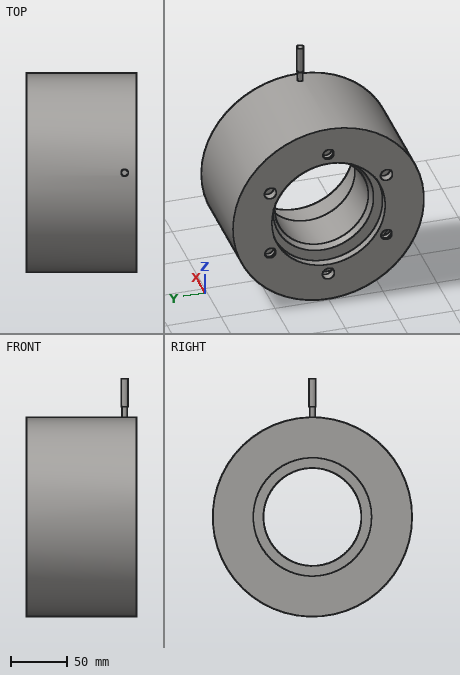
import cadquery as cq
import math

body_length = 97.6
body_diameter = 177.0
bore_diameter = 86.6

opening_diameter = 105.0
plate_thickness = 8.0
groove_diameter = 139.5
groove_width = 7.6

hub_length = 46.5
taper_diameter = 93.0
taper_angle = 30
taper_length = (taper_diameter - bore_diameter) / 2 / math.tan(math.radians(taper_angle))

hole_circle_radius = 62.1
hole_count = 6
small_hole_diameter = 10.0
large_hole_diameter = 11.0
step_depth = 2.5

overall_height = 211.3
top_height = overall_height - body_diameter / 2
pin_diameter = 6.3
pin_length = 25.0
neck_diameter = 5.0
pin_inset = 10.5
neck_embed = 2.1

front_x = -body_length / 2
rear_x = body_length / 2
pin_x = rear_x - pin_inset


def make_body():
    """Revolve the wall section, drawn as (axial, radial), about X."""
    groove_front = front_x + plate_thickness
    hub_front = groove_front + groove_width
    hub_rear = hub_front + hub_length
    section = [
        (front_x, body_diameter / 2),
        (rear_x, body_diameter / 2),
        (rear_x, opening_diameter / 2),
        (hub_rear, opening_diameter / 2),
        (hub_rear, bore_diameter / 2),
        (hub_front + taper_length, bore_diameter / 2),
        (hub_front, taper_diameter / 2),
        (hub_front, groove_diameter / 2),
        (groove_front, groove_diameter / 2),
        (groove_front, opening_diameter / 2),
        (front_x, opening_diameter / 2),
    ]
    return cq.Workplane("XY").polyline(section).close().revolve(360, (0, 0, 0), (1, 0, 0))


def make_plate_hole(index):
    """Cutter for one hole, counted round the circle from the topmost, stepped hole."""
    angle = math.radians(90 + index * 360 / hole_count)
    hole_y = hole_circle_radius * math.cos(angle)
    hole_z = hole_circle_radius * math.sin(angle)
    is_stepped = index % 2 == 0
    wide_start = step_depth if is_stepped else 0
    cutter = (
        cq.Workplane("YZ", origin=(front_x + wide_start, hole_y, hole_z))
        .circle(large_hole_diameter / 2)
        .extrude(plate_thickness - wide_start)
    )
    if is_stepped:
        mouth = (
            cq.Workplane("YZ", origin=(front_x, hole_y, hole_z))
            .circle(small_hole_diameter / 2)
            .extrude(plate_thickness)
        )
        cutter = cutter.union(mouth)
    return cutter


def make_pin():
    """Narrow neck rooted in the body, carrying the wider pin."""
    neck_bottom = body_diameter / 2 - neck_embed
    pin_bottom = top_height - pin_length
    neck = (
        cq.Workplane("XY", origin=(pin_x, 0, neck_bottom))
        .circle(neck_diameter / 2)
        .extrude(pin_bottom - neck_bottom)
    )
    pin = cq.Workplane("XY", origin=(pin_x, 0, pin_bottom)).circle(pin_diameter / 2).extrude(pin_length)
    return neck.union(pin)


result = make_body()
for hole_index in range(hole_count):
    result = result.cut(make_plate_hole(hole_index))
result = result.union(make_pin())